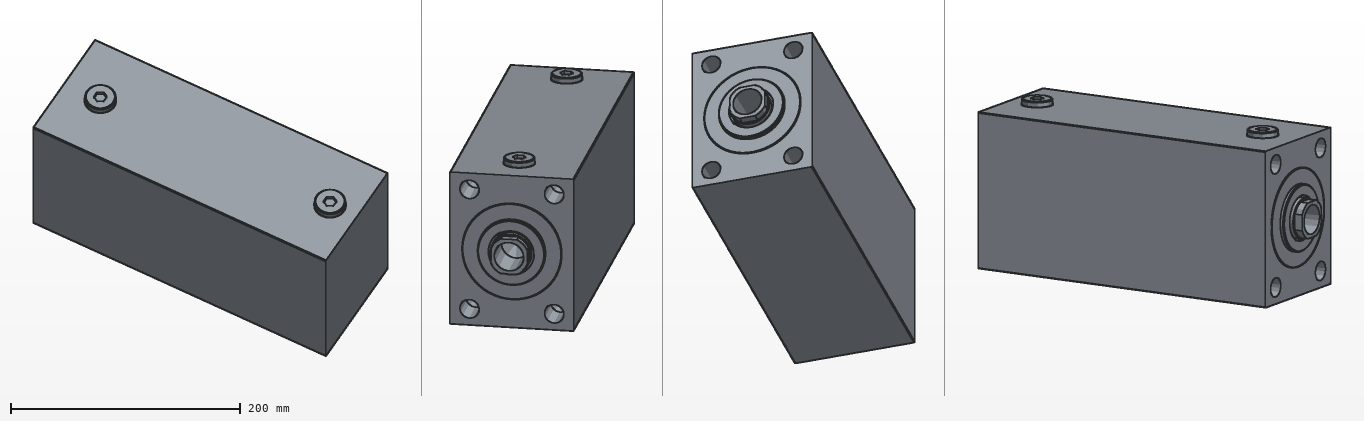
import cadquery as cq
import math


FACE_X = 14.0
END_X = 307.0
WIDTH = 110.0
HEIGHT = 140.0
EDGE_CHAMFER = 0.8
TOP_Z = HEIGHT / 2

MOUNT_PITCH_Y = 75.0
MOUNT_PITCH_Z = 110.0
MOUNT_DIAMETER = 17.0
MOUNT_DEPTH = 30.0

GLAND_DIAMETER = 88.5
GLAND_RIM_CHAMFER = 0.75
GLAND_DEPTH = 50.0
GLAND_BACK_X = FACE_X + GLAND_DEPTH
BOSS_DIAMETER = 60.0
BOSS_HEIGHT = 3.7
BOSS_CHAMFER = 1.0
RECESS_DIAMETER = 40.5
RECESS_DEPTH = 3.0
BOSS_FACE_X = FACE_X - BOSS_HEIGHT

ROD_DIAMETER = 36.0
TIP_DIAMETER = 35.0
FLAT_ACROSS = 32.0
FLAT_LENGTH = 7.5
SHOULDER_CHAMFER = 0.8
ROD_HOLE_DIAMETER = 26.0
ROD_HOLE_DEPTH = 35.0

PLUG_FIRST_X = 50.2
PLUG_PITCH = 230.0
PLUG_POSITIONS = (PLUG_FIRST_X, PLUG_FIRST_X + PLUG_PITCH)
HEAD_DIAMETER = 27.0
HEAD_HEIGHT = 4.9
HEAD_CHAMFER = 1.0
SPOTFACE_DIAMETER = 28.0
SPOTFACE_DEPTH = 0.5
SEAT_Z = TOP_Z - SPOTFACE_DEPTH
SHANK_DIAMETER = 20.0
SHANK_LENGTH = 14.0
SOCKET_ACROSS_FLATS = 10.0
SOCKET_DEPTH = 3.0

HEX_POINT_TURN = 30.0
DRILL_POINT_ANGLE = 118.0


def cylinder_x(diameter, start_x, end_x):
    """Cylinder about the rod axis."""
    return cq.Workplane("YZ", origin=(start_x, 0, 0)).circle(diameter / 2).extrude(end_x - start_x)


def drilled_hole(diameter, depth, start_x):
    """Blind hole along +X on the rod axis, with a conical drill point."""
    radius = diameter / 2
    point_x = start_x + depth + radius / math.tan(math.radians(DRILL_POINT_ANGLE / 2))
    profile = cq.Workplane("XY").polyline([
        (start_x, 0),
        (start_x, radius),
        (start_x + depth, radius),
        (point_x, 0),
    ]).close()
    return profile.revolve(360, (0, 0, 0), (1, 0, 0))


def make_gland():
    flange = cylinder_x(GLAND_DIAMETER, FACE_X, GLAND_BACK_X).faces("<X").chamfer(GLAND_RIM_CHAMFER)
    boss = cylinder_x(BOSS_DIAMETER, BOSS_FACE_X, GLAND_BACK_X).faces("<X").chamfer(BOSS_CHAMFER)
    rod_bore = cylinder_x(ROD_DIAMETER, BOSS_FACE_X, GLAND_BACK_X)
    rod_recess = cylinder_x(RECESS_DIAMETER, BOSS_FACE_X, BOSS_FACE_X + RECESS_DEPTH)
    return flange.union(boss).cut(rod_bore).cut(rod_recess)


def make_rod():
    shaft = cylinder_x(ROD_DIAMETER, FLAT_LENGTH, GLAND_BACK_X).faces("<X").chamfer(SHOULDER_CHAMFER)
    flats = cq.Workplane("YZ").rect(FLAT_ACROSS, FLAT_ACROSS).extrude(FLAT_LENGTH)
    tip = cylinder_x(TIP_DIAMETER, 0, FLAT_LENGTH).intersect(flats)
    return shaft.union(tip).cut(drilled_hole(ROD_HOLE_DIAMETER, ROD_HOLE_DEPTH, 0))


def make_plug(x):
    seat = cq.Workplane("XY", origin=(x, 0, SEAT_Z))
    head = seat.circle(HEAD_DIAMETER / 2).extrude(SPOTFACE_DEPTH + HEAD_HEIGHT)
    head = head.faces(">Z").chamfer(HEAD_CHAMFER)
    shank = seat.circle(SHANK_DIAMETER / 2).extrude(-SHANK_LENGTH)
    across_corners = SOCKET_ACROSS_FLATS / math.cos(math.pi / 6)
    socket = (
        cq.Workplane("XY", origin=(x, 0, TOP_Z + HEAD_HEIGHT))
        .transformed(rotate=(0, 0, HEX_POINT_TURN))
        .polygon(6, across_corners)
        .extrude(-SOCKET_DEPTH)
    )
    return head.union(shank).cut(socket)


def make_housing():
    length = END_X - FACE_X
    block = cq.Workplane("YZ", origin=(FACE_X, 0, 0)).rect(WIDTH, HEIGHT).extrude(length)
    block = block.edges("|X").chamfer(EDGE_CHAMFER)
    block = block.cut(cylinder_x(GLAND_DIAMETER, FACE_X, GLAND_BACK_X))
    mount_hole = drilled_hole(MOUNT_DIAMETER, MOUNT_DEPTH, FACE_X)
    for side_y in (-1, 1):
        for side_z in (-1, 1):
            offset = (0, side_y * MOUNT_PITCH_Y / 2, side_z * MOUNT_PITCH_Z / 2)
            block = block.cut(mount_hole.translate(offset))
    for x in PLUG_POSITIONS:
        seat = cq.Workplane("XY", origin=(x, 0, SEAT_Z))
        spotface = seat.circle(SPOTFACE_DIAMETER / 2).extrude(SPOTFACE_DEPTH)
        port = seat.circle(SHANK_DIAMETER / 2).extrude(-SHANK_LENGTH)
        block = block.cut(spotface).cut(port)
    return block


housing = make_housing()
gland = make_gland()
rod = make_rod()
plugs = [make_plug(x) for x in PLUG_POSITIONS]

result = cq.Compound.makeCompound([
    housing.val(),
    gland.val(),
    rod.val(),
    *[plug.val() for plug in plugs],
])